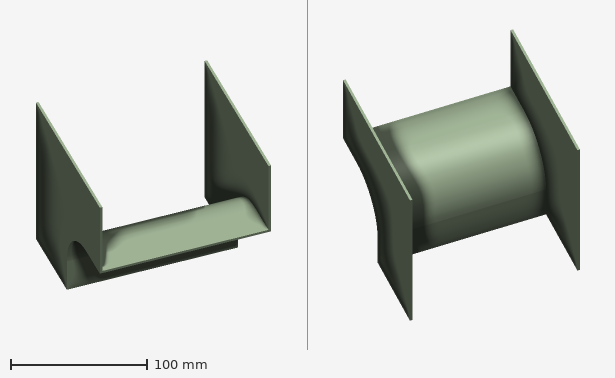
import cadquery as cq

side = 130.0
width = 134.9
thickness = 2.0

arm_depth = 62.9
straight_length = 27.0
outer_radius = side - arm_depth - straight_length


def corner_profile(depth, radius):
    """L-shaped outline of the given arm depth, with a rounded inside corner."""
    arc_start = depth + radius
    corner_z = side - depth
    return (
        cq.Workplane("XZ", origin=(0, width, 0))
        .lineTo(depth, 0)
        .lineTo(depth, corner_z - radius)
        .radiusArc((arc_start, corner_z), radius)
        .lineTo(side, corner_z)
        .lineTo(side, side)
        .lineTo(0, side)
        .close()
    )


elbow = corner_profile(arm_depth, outer_radius).extrude(width)

channel = (
    corner_profile(arm_depth - thickness, outer_radius + thickness)
    .extrude(width - 2 * thickness)
    .translate((0, -thickness, 0))
)

result = elbow.cut(channel)